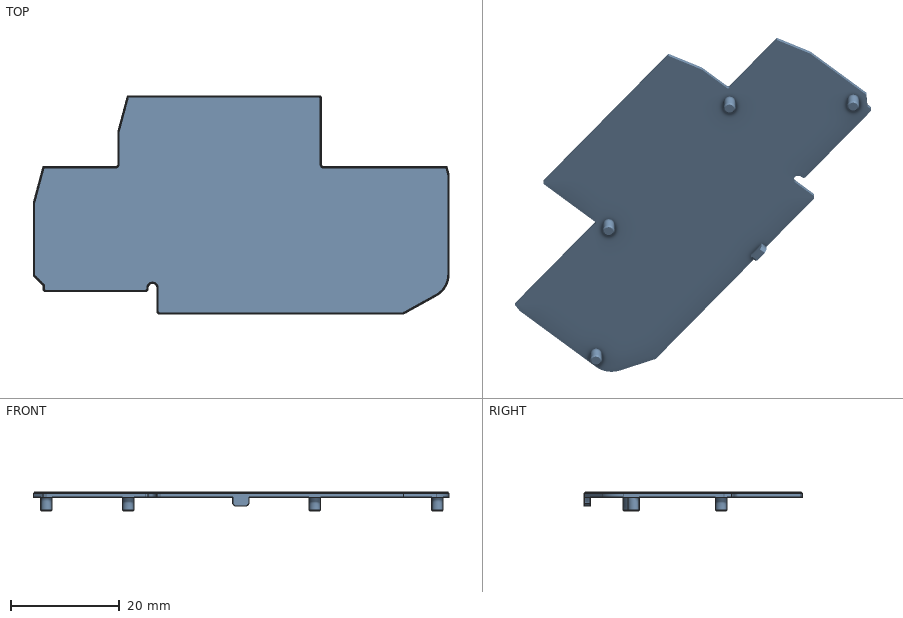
import cadquery as cq

LENGTH = 76.6
DEPTH = 40.2
HEIGHT = 3.5
PLATE_THICKNESS = 1.0
TOP_CHAMFER = 0.2

SHOULDER_Y = 27.2
LEFT_BEVEL_RUN = 1.8
LEFT_BEVEL_DROP = 6.6
MIDDLE_LEFT_X = 15.55
MIDDLE_RIGHT_X = 53.1
RIGHT_BEVEL_RUN = 0.4
RIGHT_BEVEL_DROP = 1.45
FRONT_BEVEL_X = 68.2
FRONT_BEVEL_Y = 4.7
FRONT_BEVEL_RADIUS = 4.45
LEFT_FRONT_Y = 4.1
CUT_CORNER_RUN = 1.8
CUT_CORNER_TOP_Y = 7.05
CUT_CORNER_BOTTOM_Y = 5.3
CORNER_RADIUS = 0.5
REAR_CORNER_RADIUS = 0.4

NOTCH_LEFT_X = 21.15
NOTCH_RIGHT_X = 22.75
NOTCH_TOP_Y = 5.7
NOTCH_RADIUS = (NOTCH_RIGHT_X - NOTCH_LEFT_X) / 2

PEG_DIAMETER = 2.15
PEG_CHAMFER = 0.2
PEG_POSITIONS = [(2.4, 8.2), (17.5, 25.3), (51.9, 25.3), (74.5, 9.1)]
TAB_CENTER_X = 38.2
TAB_WIDTH = 3.1
TAB_DEPTH = 1.15
TAB_BOTTOM_Z = -2.6
TAB_CHAMFER = 0.45


def round_corner(body, x, y, radius):
    """Round the upright edge of the plate at (x, y)."""
    corner = cq.selectors.NearestToPointSelector((x, y, -PLATE_THICKNESS / 2))
    return body.edges("|Z").edges(corner).fillet(radius)


def make_plate():
    notch_arc_y = NOTCH_TOP_Y - NOTCH_RADIUS
    plate = (
        cq.Workplane("XY", origin=(0, 0, -PLATE_THICKNESS))
        .moveTo(NOTCH_RIGHT_X, 0)
        .lineTo(FRONT_BEVEL_X, 0)
        .lineTo(LENGTH, FRONT_BEVEL_Y)
        .lineTo(LENGTH, SHOULDER_Y - RIGHT_BEVEL_DROP)
        .lineTo(LENGTH - RIGHT_BEVEL_RUN, SHOULDER_Y)
        .lineTo(MIDDLE_RIGHT_X, SHOULDER_Y)
        .lineTo(MIDDLE_RIGHT_X, DEPTH)
        .lineTo(MIDDLE_LEFT_X + LEFT_BEVEL_RUN, DEPTH)
        .lineTo(MIDDLE_LEFT_X, DEPTH - LEFT_BEVEL_DROP)
        .lineTo(MIDDLE_LEFT_X, SHOULDER_Y)
        .lineTo(LEFT_BEVEL_RUN, SHOULDER_Y)
        .lineTo(0, SHOULDER_Y - LEFT_BEVEL_DROP)
        .lineTo(0, CUT_CORNER_TOP_Y)
        .lineTo(CUT_CORNER_RUN, CUT_CORNER_BOTTOM_Y)
        .lineTo(CUT_CORNER_RUN, LEFT_FRONT_Y)
        .lineTo(NOTCH_LEFT_X, LEFT_FRONT_Y)
        .lineTo(NOTCH_LEFT_X, notch_arc_y)
        .threePointArc(
            (NOTCH_LEFT_X + NOTCH_RADIUS, NOTCH_TOP_Y),
            (NOTCH_RIGHT_X, notch_arc_y),
        )
        .close()
        .extrude(PLATE_THICKNESS)
    )
    rounded_corners = [
        (LENGTH, FRONT_BEVEL_Y, FRONT_BEVEL_RADIUS),
        (CUT_CORNER_RUN, LEFT_FRONT_Y, CORNER_RADIUS),
        (NOTCH_LEFT_X, LEFT_FRONT_Y, CORNER_RADIUS),
        (NOTCH_RIGHT_X, 0, CORNER_RADIUS),
        (MIDDLE_LEFT_X, SHOULDER_Y, REAR_CORNER_RADIUS),
        (MIDDLE_RIGHT_X, SHOULDER_Y, REAR_CORNER_RADIUS),
        (MIDDLE_RIGHT_X, DEPTH, REAR_CORNER_RADIUS),
    ]
    for x, y, radius in rounded_corners:
        plate = round_corner(plate, x, y, radius)
    return plate.faces(">Z").edges().chamfer(TOP_CHAMFER)


def make_pegs():
    embed_z = -PLATE_THICKNESS / 2
    return (
        cq.Workplane("XY", origin=(0, 0, -HEIGHT))
        .pushPoints(PEG_POSITIONS)
        .circle(PEG_DIAMETER / 2)
        .extrude(HEIGHT + embed_z)
        .faces("<Z")
        .edges()
        .chamfer(PEG_CHAMFER)
    )


def make_tab():
    embed_z = -PLATE_THICKNESS / 2
    return (
        cq.Workplane("XY", origin=(TAB_CENTER_X, TAB_DEPTH / 2, TAB_BOTTOM_Z))
        .rect(TAB_WIDTH, TAB_DEPTH)
        .extrude(embed_z - TAB_BOTTOM_Z)
        .edges("|Y and <Z")
        .chamfer(TAB_CHAMFER)
    )


result = make_plate().union(make_pegs()).union(make_tab())